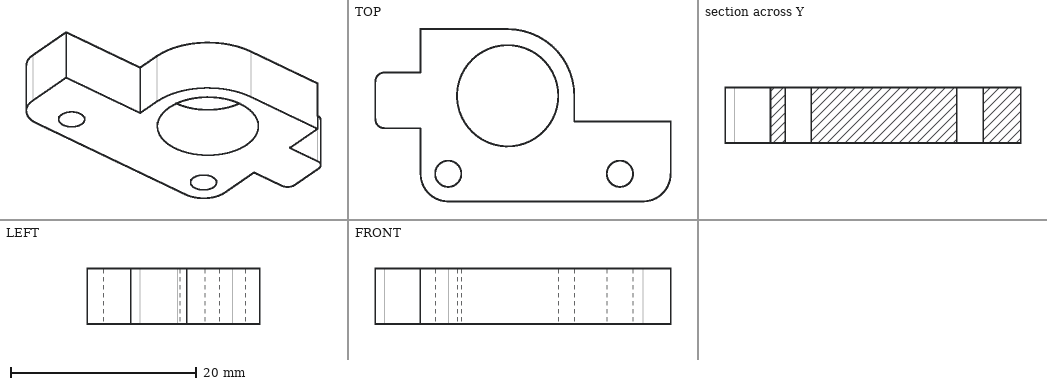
import cadquery as cq

length = 31.87
width = 18.6
thickness = 6.0

tab_length = 4.88
tab_width = 6.02
tab_bottom = 7.9
tab_corner_radius = 1.0

bar_width = 8.65
bar_corner_radius = 3.0
screw_diameter = 2.8
screw_spacing = 18.52
screw_x = tab_length + bar_corner_radius
screw_y = bar_corner_radius

bore_diameter = 10.9
housing_radius = 7.2
bore_x = 14.28
bore_y = width - housing_radius
housing_right = bore_x + housing_radius


def block(x_min, x_max, y_min, y_max):
    """Full-thickness rectangular block with its underside at Z = 0."""
    return cq.Workplane("XY").box(
        x_max - x_min, y_max - y_min, thickness, centered=False
    ).translate((x_min, y_min, 0))


def through_holes(diameter, centers):
    """Cylinders for cutting holes through the whole thickness."""
    return cq.Workplane("XY").pushPoints(centers).circle(diameter / 2).extrude(thickness)


bar = block(tab_length, length, 0, bar_width)
bar = bar.edges("|Z and <Y").fillet(bar_corner_radius)

housing = block(tab_length, housing_right, screw_y, width)
housing = housing.edges("|Z and >X and >Y").fillet(housing_radius)

tab = block(0, tab_length + tab_corner_radius, tab_bottom, tab_bottom + tab_width)
tab = tab.edges("|Z and <X").fillet(tab_corner_radius)

screw_centers = [(screw_x, screw_y), (screw_x + screw_spacing, screw_y)]

result = (
    bar.union(housing)
    .union(tab)
    .clean()
    .cut(through_holes(bore_diameter, [(bore_x, bore_y)]))
    .cut(through_holes(screw_diameter, screw_centers))
)